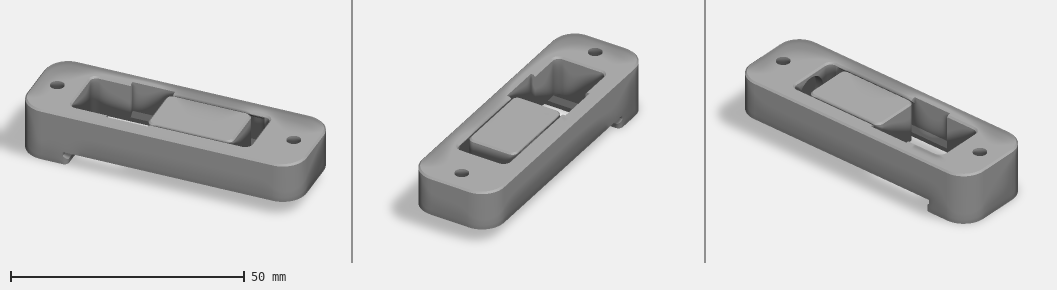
import cadquery as cq

LENGTH = 65.0
WIDTH = 20.6
HEIGHT = 12.6
CORNER_RADIUS = 5.5
EDGE_CHAMFER = 0.4
UNDERSIDE_Z = 3.1
HALF_LENGTH = LENGTH / 2

SCREW_DIAMETER = 3.2
SCREW_SPACING = 55.0

WINDOW_LEFT = -21.9
WINDOW_RIGHT = 19.7
WINDOW_WIDTH = 12.6
WINDOW_RADIUS = 1.5

HOOK_REACH = 1.05
HOOK_TIP_HEIGHT = 1.1

GROOVE_DEPTH = 1.05
GROOVE_LEFT = -13.05
GROOVE_RIGHT = 18.15
LOWER_LIP = 1.05
GROOVE_BOTTOM = UNDERSIDE_Z + LOWER_LIP
UPPER_LIP = 0.6
GROOVE_TOP = HEIGHT - UPPER_LIP
GROOVE_END_RADIUS = 1.5
NOTCH_LENGTH = 9.9

SPRING_DIAMETER = 8.0
SPRING_SEAT_DEPTH = 2.0
SPRING_Z = 7.6

SLIDER_LEFT = -4.2
SLIDER_RIGHT = 15.55
SLIDER_WIDTH = 11.95
SLIDER_RADIUS = 1.5
SLIDER_CHAMFER = 0.4
TAB_LEFT = 3.4
TAB_LENGTH = 9.8

FOOT_TIP_X = 10.6
FOOT_TIP_RADIUS = 1.25


def block(x_min, x_max, width, z_min, z_max):
    """Box between two X and two Z positions, centred on Y = 0."""
    size = (x_max - x_min, width, z_max - z_min)
    return cq.Workplane("XY").box(*size, centered=(False, True, False)).translate((x_min, 0, z_min))


def flared_bar(x_min, length, wall_width, depth, z_min, z_max):
    """Bar along X that widens by `depth` on both sides, through 45 degree flanks."""
    inner = wall_width / 2
    outer = inner + depth
    profile = [
        (inner, z_min),
        (outer, z_min + depth),
        (outer, z_max - depth),
        (inner, z_max),
        (-inner, z_max),
        (-outer, z_max - depth),
        (-outer, z_min + depth),
        (-inner, z_min),
    ]
    return cq.Workplane("YZ", origin=(x_min, 0, 0)).polyline(profile).close().extrude(length)


def make_window():
    """Rounded rectangular prism that clears the window over the full height."""
    window = block(WINDOW_LEFT, WINDOW_RIGHT, WINDOW_WIDTH, 0, HEIGHT)
    return window.edges("|Z").fillet(WINDOW_RADIUS)


def make_guides():
    """Both grooves and the notches that let the tabs in from above."""
    full_width = WINDOW_WIDTH + 2 * GROOVE_DEPTH
    length = GROOVE_RIGHT - GROOVE_LEFT
    bar = flared_bar(GROOVE_LEFT, length, WINDOW_WIDTH, GROOVE_DEPTH, GROOVE_BOTTOM, GROOVE_TOP)
    plan = block(GROOVE_LEFT, GROOVE_RIGHT, full_width, GROOVE_BOTTOM, GROOVE_TOP)
    groove = bar.intersect(plan.edges("|Z and >X").fillet(GROOVE_END_RADIUS))
    notch_floor = GROOVE_BOTTOM + GROOVE_DEPTH
    notch = block(GROOVE_LEFT, GROOVE_LEFT + NOTCH_LENGTH, full_width, notch_floor, HEIGHT)
    return groove.union(notch)


def make_fixed_hook():
    """Hook across the foot of the leg; it starts inside the leg so that the two merge."""
    root = WINDOW_LEFT
    start = root - HOOK_REACH
    tip = root + HOOK_REACH
    flank_top = HOOK_TIP_HEIGHT + HOOK_REACH
    profile = [
        (start, 0),
        (tip, 0),
        (tip, HOOK_TIP_HEIGHT),
        (root, flank_top),
        (start, flank_top),
    ]
    bar = cq.Workplane("XZ").polyline(profile).close().extrude(WIDTH / 2, both=True)
    plan = block(start, tip, WIDTH, 0, UNDERSIDE_Z)
    return bar.intersect(plan.edges("|Z and >X").fillet(HOOK_REACH))


def make_housing():
    """Plate with a leg at its left end, pierced by the window, the grooves and the holes."""
    outline = block(-HALF_LENGTH, HALF_LENGTH, WIDTH, 0, HEIGHT).edges("|Z").fillet(CORNER_RADIUS)
    housing = outline.cut(block(WINDOW_LEFT, HALF_LENGTH, WIDTH, 0, UNDERSIDE_Z))
    housing = housing.cut(make_window())
    housing = housing.faces(">Z").edges().chamfer(EDGE_CHAMFER)
    housing = housing.cut(make_guides())
    screw_holes = (
        cq.Workplane("XY")
        .pushPoints([(-SCREW_SPACING / 2, 0), (SCREW_SPACING / 2, 0)])
        .circle(SCREW_DIAMETER / 2)
        .extrude(HEIGHT)
    )
    spring_seat = (
        cq.Workplane("YZ", origin=(WINDOW_RIGHT, 0, SPRING_Z))
        .circle(SPRING_DIAMETER / 2)
        .extrude(SPRING_SEAT_DEPTH)
    )
    return housing.cut(screw_holes).cut(spring_seat).union(make_fixed_hook())


def make_foot():
    """Hook under the slider, undercut by a 45 degree flank."""
    flank = UNDERSIDE_Z - HOOK_TIP_HEIGHT
    profile = [
        (FOOT_TIP_X, 0),
        (SLIDER_RIGHT, 0),
        (SLIDER_RIGHT, UNDERSIDE_Z),
        (FOOT_TIP_X + flank, UNDERSIDE_Z),
        (FOOT_TIP_X, HOOK_TIP_HEIGHT),
    ]
    bar = cq.Workplane("XZ").polyline(profile).close().extrude(SLIDER_WIDTH / 2, both=True)
    plan = block(FOOT_TIP_X, SLIDER_RIGHT, SLIDER_WIDTH, 0, UNDERSIDE_Z)
    plan = plan.edges("|Z and <X").fillet(FOOT_TIP_RADIUS).edges("|Z and >X").fillet(SLIDER_RADIUS)
    return bar.intersect(plan)


def make_slider():
    """Sliding block with a guide tab on each side and a hook underneath."""
    body = block(SLIDER_LEFT, SLIDER_RIGHT, SLIDER_WIDTH, UNDERSIDE_Z, HEIGHT)
    body = body.edges("|Z").fillet(SLIDER_RADIUS).faces(">Z").edges().chamfer(SLIDER_CHAMFER)
    tabs = flared_bar(TAB_LEFT, TAB_LENGTH, SLIDER_WIDTH, GROOVE_DEPTH, GROOVE_BOTTOM, GROOVE_TOP)
    return body.union(tabs).union(make_foot())


housing = make_housing()
slider = make_slider()
result = cq.Compound.makeCompound([housing.val(), slider.val()])